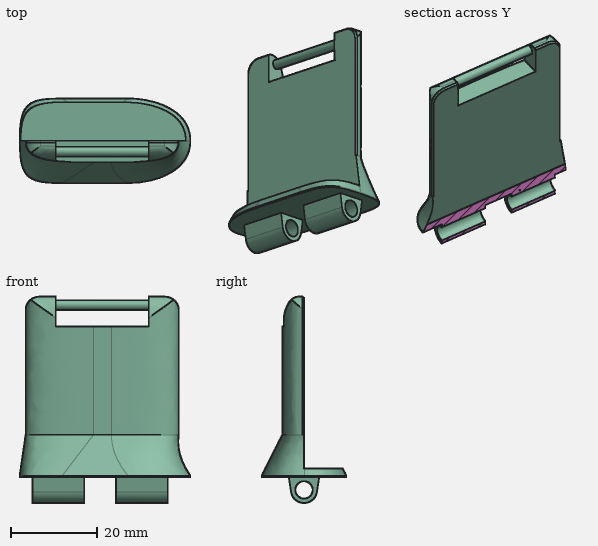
import cadquery as cq

RIM_TOP = 0.35
LEDGE_TOP = 2.05
FLARE_TOP = 9.9
GAP_FLOOR = 35.05
BLADE_TOP = 42.0
FLARE_MIDDLE = (RIM_TOP + FLARE_TOP) / 2

BASE_FULL_DEPTH = 19.7
BASE_DEPTH = BASE_FULL_DEPTH / 2
BLADE_DEPTH = 5.05

BASE_LEFT = (19.2, 9.8, 0.87, 0.81)
BASE_RIGHT = (20.5, 14.5, 0.73, 0.42)
BLADE_END = (17.8, 15.7, 0.89, 0.66)
BLADE_HALF_WIDTH = BLADE_END[0]
FLARE_MIDDLE_RIGHT_REACH = 18.15

TOP_CORNER_WIDTH = 3.4
TOP_CORNER_HEIGHT = 3.15
TOP_FLAT_DEPTH = 1.2
FRONT_ROUND_HEIGHT = 6.25
EAR_DEPTH = 4.8
BACK_CHAMFER_DEPTH = 0.45
BACK_CHAMFER_INSET = 0.35

GAP_HALF_WIDTH = 10.75
PIN_DIAMETER = 2.3
PIN_Y = -2.55
PIN_Z = 39.98

KNUCKLE_LEFT_EDGES = (-16.2, 3.15)
KNUCKLE_WIDTH = 12.1
KNUCKLE_RADIUS = 3.05
KNUCKLE_DROP = 6.0
KNUCKLE_TOP_HALF_DEPTH = 3.55
KNUCKLE_HOLE_DIAMETER = 4.0
KNUCKLE_TANGENT_Z = -3.3


def mean(first, second):
    """Item-by-item mean of two outline ends."""
    return tuple((a + b) / 2 for a, b in zip(first, second))


def corner(side, front, end):
    """Bezier points of one corner, from the tip at y = 0 to the flat at depth `front`.

    `side` is -1 for the left end and 1 for the right end.
    """
    reach, width, end_fullness, front_fullness = end
    tip_x = side * reach
    flat_x = side * (reach - width)
    return [
        (tip_x, 0),
        (tip_x, front * end_fullness),
        (flat_x + side * width * front_fullness, front),
        (flat_x, front),
    ]


def outline(plane, left, right, depth):
    """Closed rounded outline, symmetric about y = 0, with a flat front and rear."""
    front_left = corner(-1, -depth, left)
    front_right = corner(1, -depth, right)
    rear_right = corner(1, depth, right)
    rear_left = corner(-1, depth, left)
    return (
        plane.moveTo(*front_left[0])
        .bezier(front_left)
        .lineTo(*front_right[-1])
        .bezier(front_right[::-1])
        .bezier(rear_right)
        .lineTo(*rear_left[-1])
        .bezier(rear_left[::-1])
        .close()
    )


def base_outline(plane):
    return outline(plane, BASE_LEFT, BASE_RIGHT, BASE_DEPTH)


def blade_outline(plane):
    return outline(plane, BLADE_END, BLADE_END, BLADE_DEPTH)


def make_base():
    """Thin rim carrying the flare, whose rear half is cut down to a ledge."""
    rim = base_outline(cq.Workplane("XY")).extrude(RIM_TOP)
    sections = base_outline(cq.Workplane("XY").workplane(offset=RIM_TOP))
    middle_right = (FLARE_MIDDLE_RIGHT_REACH,) + mean(BASE_RIGHT, BLADE_END)[1:]
    sections = outline(
        sections.workplane(offset=FLARE_MIDDLE - RIM_TOP),
        mean(BASE_LEFT, BLADE_END),
        middle_right,
        (BASE_DEPTH + BLADE_DEPTH) / 2,
    )
    flare = blade_outline(sections.workplane(offset=FLARE_TOP - FLARE_MIDDLE)).loft()
    behind_blade = cq.Workplane("XY").box(
        2 * (BASE_LEFT[0] + BASE_RIGHT[0]), BASE_FULL_DEPTH, BLADE_TOP, centered=(True, False, False)
    )
    return rim.union(flare).cut(behind_blade.translate((0, 0, LEDGE_TOP)))


def make_blade():
    """Upright blade: its plan, front and side outlines intersected."""
    height = BLADE_TOP - FLARE_TOP
    plan = blade_outline(cq.Workplane("XY").workplane(offset=FLARE_TOP)).extrude(height)
    corner_x = BLADE_HALF_WIDTH - TOP_CORNER_WIDTH
    corner_z = BLADE_TOP - TOP_CORNER_HEIGHT
    front = (
        cq.Workplane("XZ")
        .moveTo(-BLADE_HALF_WIDTH, FLARE_TOP)
        .lineTo(-BLADE_HALF_WIDTH, corner_z)
        .ellipseArc(TOP_CORNER_WIDTH, TOP_CORNER_HEIGHT, 90, 180, sense=-1, startAtCurrent=True)
        .lineTo(corner_x, BLADE_TOP)
        .ellipseArc(TOP_CORNER_WIDTH, TOP_CORNER_HEIGHT, 0, 90, sense=-1, startAtCurrent=True)
        .lineTo(BLADE_HALF_WIDTH, FLARE_TOP)
        .close()
        .extrude(BLADE_DEPTH)
    )
    front = front.faces(">Y").edges("not <Z").chamfer(BACK_CHAMFER_DEPTH, BACK_CHAMFER_INSET)
    side = (
        cq.Workplane("YZ")
        .moveTo(0, FLARE_TOP)
        .lineTo(0, BLADE_TOP)
        .lineTo(-TOP_FLAT_DEPTH, BLADE_TOP)
        .ellipseArc(
            EAR_DEPTH - TOP_FLAT_DEPTH, FRONT_ROUND_HEIGHT, 90, 180, sense=1, startAtCurrent=True
        )
        .lineTo(-EAR_DEPTH, GAP_FLOOR)
        .lineTo(-BLADE_DEPTH, GAP_FLOOR)
        .lineTo(-BLADE_DEPTH, FLARE_TOP)
        .close()
        .extrude(BLADE_HALF_WIDTH, both=True)
    )
    gap = cq.Workplane("XY").box(
        2 * GAP_HALF_WIDTH, 4 * BLADE_DEPTH, BLADE_TOP, centered=(True, True, False)
    )
    return plan.intersect(front).intersect(side).cut(gap.translate((0, 0, GAP_FLOOR)))


def make_pin():
    """Strap pin from ear to ear."""
    return (
        cq.Workplane("YZ")
        .workplane(offset=-GAP_HALF_WIDTH)
        .center(PIN_Y, PIN_Z)
        .circle(PIN_DIAMETER / 2)
        .extrude(2 * GAP_HALF_WIDTH)
    )


def make_knuckle(left_edge):
    """Tapered hinge knuckle with a round end and a through hole."""
    centre_z = KNUCKLE_RADIUS - KNUCKLE_DROP
    tangent_y = (KNUCKLE_RADIUS**2 - (KNUCKLE_TANGENT_Z - centre_z) ** 2) ** 0.5
    return (
        cq.Workplane("YZ")
        .workplane(offset=left_edge)
        .moveTo(-KNUCKLE_TOP_HALF_DEPTH, 0)
        .lineTo(-tangent_y, KNUCKLE_TANGENT_Z)
        .threePointArc((0, -KNUCKLE_DROP), (tangent_y, KNUCKLE_TANGENT_Z))
        .lineTo(KNUCKLE_TOP_HALF_DEPTH, 0)
        .close()
        .moveTo(0, centre_z)
        .circle(KNUCKLE_HOLE_DIAMETER / 2)
        .extrude(KNUCKLE_WIDTH)
    )


result = make_base().union(make_blade()).union(make_pin())
for left_edge in KNUCKLE_LEFT_EDGES:
    result = result.union(make_knuckle(left_edge))